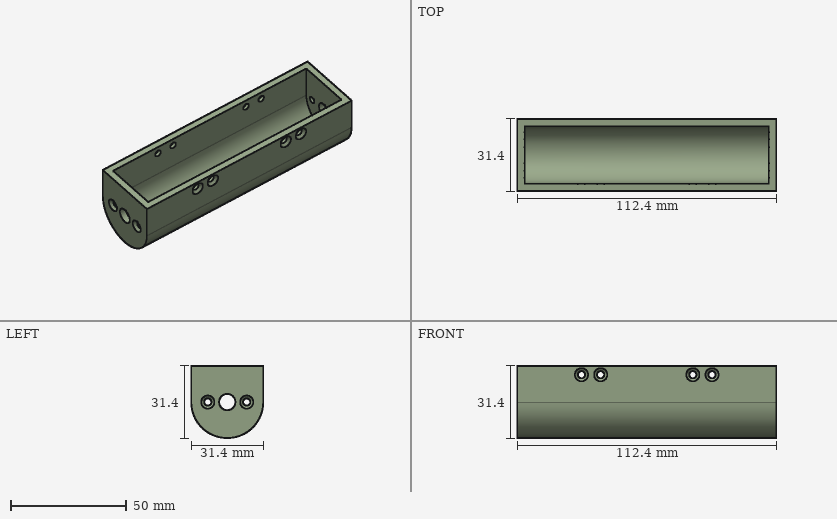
import cadquery as cq

length = 112.4
width = 31.4
height = 31.4
outer_radius = width / 2
axis_height = outer_radius

cavity_length = 106.0
cavity_width = 25.0

screw_hole_diameter = 3.0
countersink_diameter = 5.7
countersink_depth = (countersink_diameter - screw_hole_diameter) / 2
countersink_taper = 45.0

pair_offset = 24.2
hole_pitch = 8.3
side_hole_drop = 3.8
side_hole_height = height - side_hole_drop

center_hole_diameter = 7.0
end_hole_offset = 8.4


def trough_solid(radius, solid_length):
    """Solid U section of the given radius, centred along X and open to the top plane."""
    return (
        cq.Workplane("YZ", origin=(-solid_length / 2, 0, axis_height))
        .moveTo(-radius, height - axis_height)
        .lineTo(-radius, 0)
        .threePointArc((0, -radius), (radius, 0))
        .lineTo(radius, height - axis_height)
        .close()
        .extrude(solid_length)
    )


def screw_cutter(plane, face_center, points, span):
    """Screw holes running inward across the span, with a conical seat at both outer faces."""
    face = cq.Workplane(plane, origin=face_center).pushPoints(points)
    drills = face.circle(screw_hole_diameter / 2).extrude(-span)
    seats = face.circle(countersink_diameter / 2).extrude(-countersink_depth, taper=countersink_taper)
    far_seats = seats.mirror(plane)
    return drills.union(seats).union(far_seats)


result = trough_solid(outer_radius, length).cut(trough_solid(cavity_width / 2, cavity_length))

side_points = [
    (pair * pair_offset + hole * hole_pitch / 2, 0)
    for pair in (-1, 1)
    for hole in (-1, 1)
]
side_face_center = (0, -width / 2, side_hole_height)
result = result.cut(screw_cutter("XZ", side_face_center, side_points, width))

end_points = [(-end_hole_offset, 0), (end_hole_offset, 0)]
end_face_center = (length / 2, 0, axis_height)
result = result.cut(screw_cutter("YZ", end_face_center, end_points, length))

center_bore = (
    cq.Workplane("YZ", origin=(-length / 2, 0, axis_height))
    .circle(center_hole_diameter / 2)
    .extrude(length)
)
result = result.cut(center_bore)